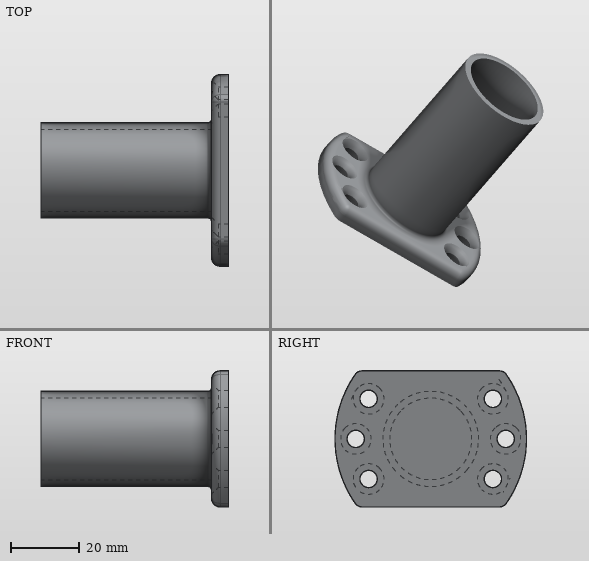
import cadquery as cq
import math

length = 55.0
plate_width = 56.25
plate_height = 40.0
plate_thickness = 5.0

side_radius = 33.1
corner_radius = 2.6
rim_radius = 2.6

tube_diameter = 28.0
bore_diameter = 24.0
root_fillet = 1.0

hole_diameter = 5.0
countersink_diameter = 9.0
countersink_angle = 90.0
middle_hole_y = 22.0
outer_hole_y = 18.25
outer_hole_z = 11.75

plate_front = length - plate_thickness
cut_margin = 0.55


def make_plate():
    """Plate with flat top and bottom, bowed sides and a rounded front rim."""
    half_width = plate_width / 2
    half_height = plate_height / 2
    side_bow = side_radius - math.sqrt(side_radius**2 - half_height**2)
    corner_y = half_width - side_bow
    plate = (
        cq.Workplane("YZ", origin=(plate_front, 0, 0))
        .moveTo(-corner_y, -half_height)
        .lineTo(corner_y, -half_height)
        .threePointArc((half_width, 0), (corner_y, half_height))
        .lineTo(-corner_y, half_height)
        .threePointArc((-half_width, 0), (-corner_y, -half_height))
        .close()
        .extrude(plate_thickness)
    )
    return plate.edges("|X").fillet(corner_radius).faces("<X").edges().fillet(rim_radius)


def add_tube(plate):
    """Join the tube to the plate, with a fillet at its root."""
    tube = cq.Workplane("YZ").circle(tube_diameter / 2).extrude(plate_front)
    root_point = (plate_front, 0, 0)
    root_edge = cq.selectors.NearestToPointSelector(root_point)
    return plate.union(tube).edges("%CIRCLE").edges(root_edge).fillet(root_fillet)


def make_screw_hole(y, z):
    """Through hole with a conical seat opening on the plate front."""
    hole_radius = hole_diameter / 2
    seat_radius = countersink_diameter / 2
    seat_slope = math.tan(math.radians(countersink_angle / 2))
    seat_depth = (seat_radius - hole_radius) / seat_slope
    profile = (
        cq.Workplane("XY", origin=(plate_front, y, z))
        .lineTo(0, seat_radius)
        .lineTo(seat_depth, hole_radius)
        .lineTo(plate_thickness + cut_margin, hole_radius)
        .lineTo(plate_thickness + cut_margin, 0)
        .close()
    )
    return profile.revolve(360, (0, 0, 0), (1, 0, 0))


result = add_tube(make_plate())
bore = cq.Workplane("YZ").circle(bore_diameter / 2).extrude(plate_front)
result = result.cut(bore)

for side in (-1, 1):
    result = result.cut(make_screw_hole(side * middle_hole_y, 0))
    for level in (-1, 1):
        result = result.cut(make_screw_hole(side * outer_hole_y, level * outer_hole_z))